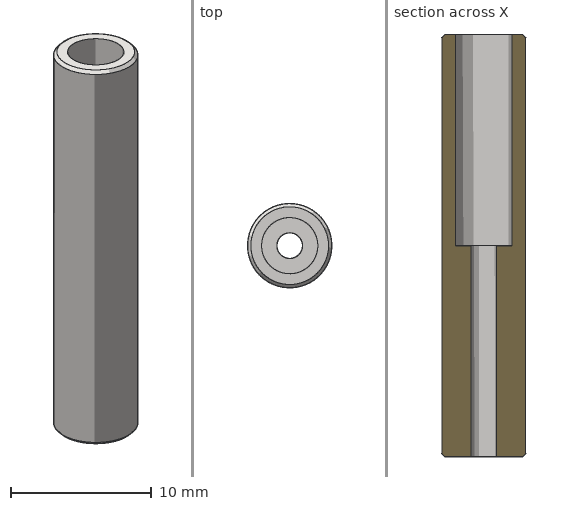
import cadquery as cq

length = 30.0
outer_diameter = 6.0
bore_diameter = 4.0
through_hole_diameter = 1.8
end_chamfer = 0.25
bore_depth = length / 2

body = cq.Workplane("XY").circle(outer_diameter / 2).extrude(length)
body = body.faces("<Z or >Z").edges().chamfer(end_chamfer)

result = body.faces(">Z").workplane().cboreHole(through_hole_diameter, bore_diameter, bore_depth)